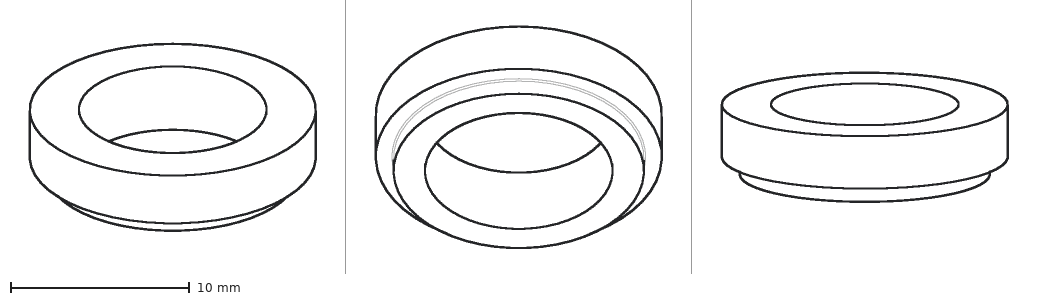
import cadquery as cq

outer_diameter = 16.0
lip_diameter = 14.0
bore_diameter = 10.5
total_height = 4.0
lip_height = 1.0
fillet_radius = 0.1

ring_height = total_height - lip_height

lip = cq.Workplane("XY").circle(lip_diameter / 2).extrude(lip_height)
ring = cq.Workplane("XY").workplane(offset=lip_height).circle(outer_diameter / 2).extrude(ring_height)
body = lip.union(ring)

lip_corner = cq.selectors.RadiusNthSelector(0)
body = body.faces("<Z[1]").edges(lip_corner).fillet(fillet_radius)

bore = cq.Workplane("XY").circle(bore_diameter / 2).extrude(total_height)
result = body.cut(bore)